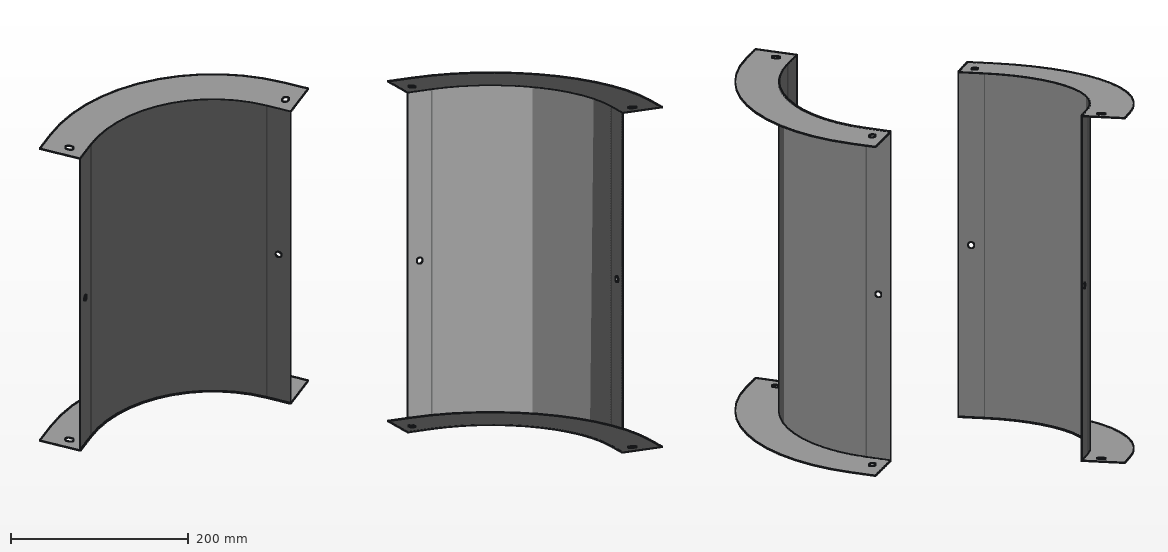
import cadquery as cq

height = 400.0
side = 230.0
flange_width = 50.0
straight = 30.0
sheet = 1.0
hole_diameter = 7.0
slot_length = 10.0
hole_from_end = straight / 2
slot_from_edge = 30.0


def quarter_band(outer_inset, inner_inset, depth):
    """Extrude a 90 degree band lying between two insets from the outer edge."""
    bend_start = side - straight
    outer_radius = bend_start - outer_inset
    inner_radius = bend_start - inner_inset
    return (
        cq.Workplane("XY")
        .moveTo(-outer_radius, -straight)
        .lineTo(-outer_radius, 0)
        .radiusArc((0, outer_radius), outer_radius)
        .lineTo(straight, outer_radius)
        .lineTo(straight, inner_radius)
        .lineTo(0, inner_radius)
        .radiusArc((-inner_radius, 0), -inner_radius)
        .lineTo(-inner_radius, -straight)
        .close()
        .extrude(depth)
    )


wall = quarter_band(flange_width - sheet, flange_width, height)
flange = quarter_band(0, flange_width, sheet)
body = wall.union(flange).union(flange.translate((0, 0, height - sheet)))

outer_edge = side - straight
slot_offset = outer_edge - slot_from_edge
hole_offset = straight - hole_from_end
slots = (
    cq.Workplane("XY")
    .center(-slot_offset, -hole_offset)
    .slot2D(slot_length, hole_diameter)
    .extrude(height)
    .union(
        cq.Workplane("XY")
        .center(hole_offset, slot_offset)
        .slot2D(slot_length, hole_diameter, 90)
        .extrude(height)
    )
)

hole_radius = hole_diameter / 2
mid_height = height / 2
hole_along_y = (
    cq.Workplane("XZ", origin=(hole_offset, outer_edge, mid_height))
    .circle(hole_radius)
    .extrude(outer_edge)
)
hole_along_x = (
    cq.Workplane("YZ", origin=(-outer_edge, -hole_offset, mid_height))
    .circle(hole_radius)
    .extrude(outer_edge)
)

result = body.cut(slots).cut(hole_along_y).cut(hole_along_x)
result = result.translate((outer_edge, straight, 0))